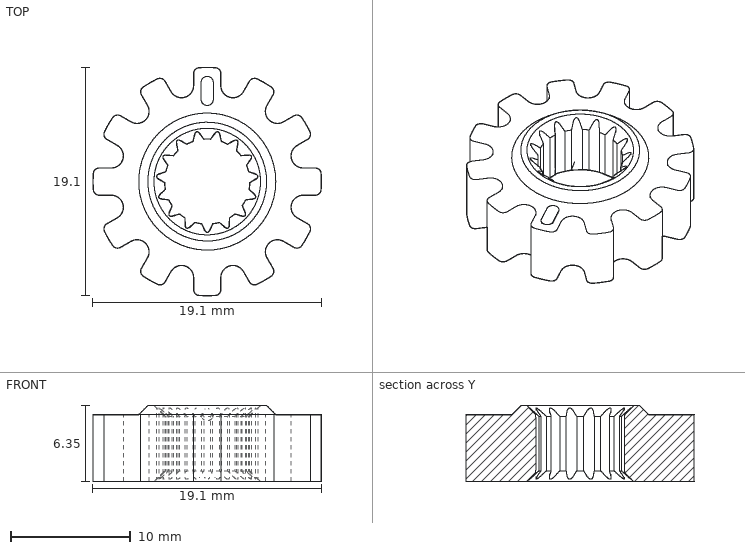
import cadquery as cq
import math

GEAR_RADIUS = 9.525
GEAR_HEIGHT = 5.588
COLLAR_HEIGHT = 0.762
TOTAL_HEIGHT = GEAR_HEIGHT + COLLAR_HEIGHT

TOOTH_COUNT = 12
TOOTH_WIDTH = 2.286
TOOTH_CORNER_RADIUS = 0.5
GAP_RADIUS = 1.0
GAP_HALF_ANGLE = math.radians(180 / TOOTH_COUNT)

COLLAR_BASE_RADIUS = 5.715
COLLAR_TOP_RADIUS = COLLAR_BASE_RADIUS - COLLAR_HEIGHT

SPLINE_COUNT = 15
BORE_RADIUS = 3.54
SPLINE_ROOT_RADIUS = 4.24
SPLINE_MOUTH_HALF_WIDTH = 0.46
SPLINE_MIDDLE_HALF_WIDTH = 0.31
SPLINE_SHOULDER_HALF_WIDTH = 0.13
SPLINE_SHOULDER_RADIUS = SPLINE_ROOT_RADIUS - SPLINE_SHOULDER_HALF_WIDTH / 2
SPLINE_MIDDLE_RADIUS = (BORE_RADIUS + SPLINE_ROOT_RADIUS) / 2
COUNTERSINK_RADIUS = 4.445
COUNTERSINK_DEPTH = COUNTERSINK_RADIUS - BORE_RADIUS

MARK_RADIUS = 0.508
MARK_INNER_Y = 6.85
MARK_OUTER_Y = 8.26


def tooth_gap():
    """Wedge between two neighbouring teeth, with a round floor tangent to both tooth walls."""
    half_width = TOOTH_WIDTH / 2
    floor_center = (half_width + GAP_RADIUS) / math.sin(GAP_HALF_ANGLE)
    tangent_x = floor_center - GAP_RADIUS * math.sin(GAP_HALF_ANGLE)
    tangent_y = GAP_RADIUS * math.cos(GAP_HALF_ANGLE)
    outer_x = GEAR_RADIUS + GAP_RADIUS
    outer_y = tangent_y + (outer_x - tangent_x) * math.tan(GAP_HALF_ANGLE)
    return (
        cq.Workplane("XY")
        .moveTo(outer_x, -outer_y)
        .lineTo(tangent_x, -tangent_y)
        .threePointArc((floor_center - GAP_RADIUS, 0), (tangent_x, tangent_y))
        .lineTo(outer_x, outer_y)
        .close()
        .extrude(GEAR_HEIGHT)
    )


def is_tooth_corner(edge):
    """True for an upright edge that lies on the outer cylinder."""
    center = edge.Center()
    return math.hypot(center.x, center.y) > GEAR_RADIUS - TOOTH_CORNER_RADIUS / 2


def toothed_body():
    """Disc with evenly spaced, parallel-sided teeth and rounded tooth corners."""
    body = cq.Workplane("XY").circle(GEAR_RADIUS).extrude(GEAR_HEIGHT)
    gap = tooth_gap()
    pitch = 360 / TOOTH_COUNT
    for index in range(TOOTH_COUNT):
        body = body.cut(gap.rotate((0, 0, 0), (0, 0, 1), (index + 0.5) * pitch))
    return body.edges("|Z").filter(is_tooth_corner).fillet(TOOTH_CORNER_RADIUS)


def collar():
    """Truncated cone on the top face, around the bore."""
    return (
        cq.Workplane("XY", origin=(0, 0, GEAR_HEIGHT))
        .circle(COLLAR_BASE_RADIUS)
        .workplane(offset=COLLAR_HEIGHT)
        .circle(COLLAR_TOP_RADIUS)
        .loft(ruled=True)
    )


def spline_groove():
    """One through groove along +X with a smooth curve for its flanks and rounded root."""
    mouth_x = math.sqrt(BORE_RADIUS**2 - SPLINE_MOUTH_HALF_WIDTH**2)
    flank = [
        (mouth_x, SPLINE_MOUTH_HALF_WIDTH),
        (SPLINE_MIDDLE_RADIUS, SPLINE_MIDDLE_HALF_WIDTH),
        (SPLINE_SHOULDER_RADIUS, SPLINE_SHOULDER_HALF_WIDTH),
    ]
    root = (SPLINE_ROOT_RADIUS, 0)
    mirrored_flank = [(x, -y) for x, y in reversed(flank)]
    return (
        cq.Workplane("XY")
        .moveTo(0, 0)
        .lineTo(*flank[0])
        .spline(flank[1:] + [root] + mirrored_flank, includeCurrent=True)
        .close()
        .extrude(TOTAL_HEIGHT)
    )


def countersunk_bore():
    """Round bore with a 45 degree countersink at each end, as a cutting body."""
    return (
        cq.Workplane("XZ")
        .moveTo(0, 0)
        .lineTo(COUNTERSINK_RADIUS, 0)
        .lineTo(BORE_RADIUS, COUNTERSINK_DEPTH)
        .lineTo(BORE_RADIUS, TOTAL_HEIGHT - COUNTERSINK_DEPTH)
        .lineTo(COUNTERSINK_RADIUS, TOTAL_HEIGHT)
        .lineTo(0, TOTAL_HEIGHT)
        .close()
        .revolve(360, (0, 0, 0), (0, 1, 0))
    )


def splined_bore():
    """Countersunk bore with its ring of grooves; one groove points to -Y."""
    bore = countersunk_bore()
    groove = spline_groove().rotate((0, 0, 0), (0, 0, 1), -90)
    pitch = 360 / SPLINE_COUNT
    for index in range(SPLINE_COUNT):
        bore = bore.union(groove.rotate((0, 0, 0), (0, 0, 1), index * pitch))
    return bore


def timing_mark():
    """Radial ball-ended groove, half sunk into the top face of the +Y tooth."""
    mark = (
        cq.Workplane("XZ", origin=(0, MARK_INNER_Y, GEAR_HEIGHT))
        .circle(MARK_RADIUS)
        .extrude(MARK_INNER_Y - MARK_OUTER_Y)
    )
    for end_y in (MARK_INNER_Y, MARK_OUTER_Y):
        mark = mark.union(cq.Workplane("XY", origin=(0, end_y, GEAR_HEIGHT)).sphere(MARK_RADIUS))
    return mark


result = toothed_body().union(collar()).cut(splined_bore()).cut(timing_mark())